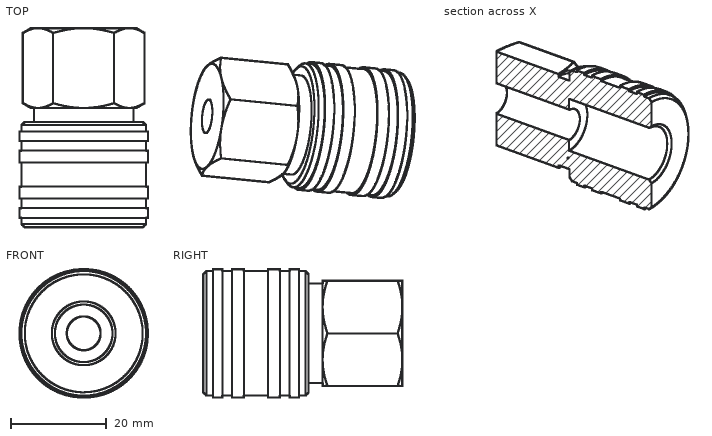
import cadquery as cq
import math

OVERALL_LENGTH = 41.5

SLEEVE_DIAMETER = 26.0
SLEEVE_LENGTH = 22.0
SLEEVE_CHAMFER = 0.7

BAND_DIAMETER = 26.8
GRIP_BANDS = [(2.0, 4.0), (6.0, 8.5), (13.5, 16.0), (18.0, 20.0)]

NECK_DIAMETER = 20.8

HEX_SIDES = 6
HEX_ACROSS_FLATS = 22.0
HEX_LENGTH = 16.6
HEX_CHAMFER_ANGLE = 30.0

SOCKET_DIAMETER = 12.0
SOCKET_DEPTH = 22.0
SOCKET_CHAMFER = 0.65
PASSAGE_DIAMETER = 7.0

FRONT_Y = -OVERALL_LENGTH / 2
HEX_START = OVERALL_LENGTH - HEX_LENGTH
HEX_ACROSS_CORNERS = HEX_ACROSS_FLATS / math.cos(math.pi / HEX_SIDES)


def plane_at(station):
    """Plane across the axis at a station; its normal points towards +Y."""
    return cq.Workplane(cq.Plane(origin=(0, FRONT_Y + station, 0), xDir=(1, 0, 0), normal=(0, 1, 0)))


def cylinder(diameter, start, end):
    return plane_at(start).circle(diameter / 2).extrude(end - start)


def make_sleeve():
    """Chamfered round sleeve with its raised grip bands."""
    sleeve = cylinder(SLEEVE_DIAMETER, 0, SLEEVE_LENGTH).edges("%CIRCLE").chamfer(SLEEVE_CHAMFER)
    for start, end in GRIP_BANDS:
        sleeve = sleeve.union(cylinder(BAND_DIAMETER, start, end))
    return sleeve


def make_hex_nut():
    """Hexagon with corners on the X axis, its corners turned off conically at both ends."""
    prism = plane_at(HEX_START).polygon(HEX_SIDES, HEX_ACROSS_CORNERS).extrude(HEX_LENGTH)
    end_radius = HEX_ACROSS_FLATS / 2
    corner_radius = HEX_ACROSS_CORNERS / 2
    drop = (corner_radius - end_radius) * math.tan(math.radians(HEX_CHAMFER_ANGLE))
    start_y = FRONT_Y + HEX_START
    end_y = FRONT_Y + OVERALL_LENGTH
    envelope = (
        cq.Workplane("XY")
        .moveTo(0, start_y)
        .lineTo(end_radius, start_y)
        .lineTo(corner_radius, start_y + drop)
        .lineTo(corner_radius, end_y - drop)
        .lineTo(end_radius, end_y)
        .lineTo(0, end_y)
        .close()
        .revolve(360, (0, 0, 0), (0, 1, 0))
    )
    return prism.intersect(envelope)


def make_bore():
    """Plug socket with a chamfered mouth, and the narrower passage through the whole part."""
    mouth_diameter = SOCKET_DIAMETER + 2 * SOCKET_CHAMFER
    mouth = (
        plane_at(0)
        .circle(mouth_diameter / 2)
        .workplane(offset=SOCKET_CHAMFER)
        .circle(SOCKET_DIAMETER / 2)
        .loft(ruled=True)
    )
    socket = cylinder(SOCKET_DIAMETER, 0, SOCKET_DEPTH)
    passage = cylinder(PASSAGE_DIAMETER, 0, OVERALL_LENGTH)
    return socket.union(mouth).union(passage)


neck = cylinder(NECK_DIAMETER, SLEEVE_LENGTH, HEX_START)
result = make_sleeve().union(neck).union(make_hex_nut()).cut(make_bore())